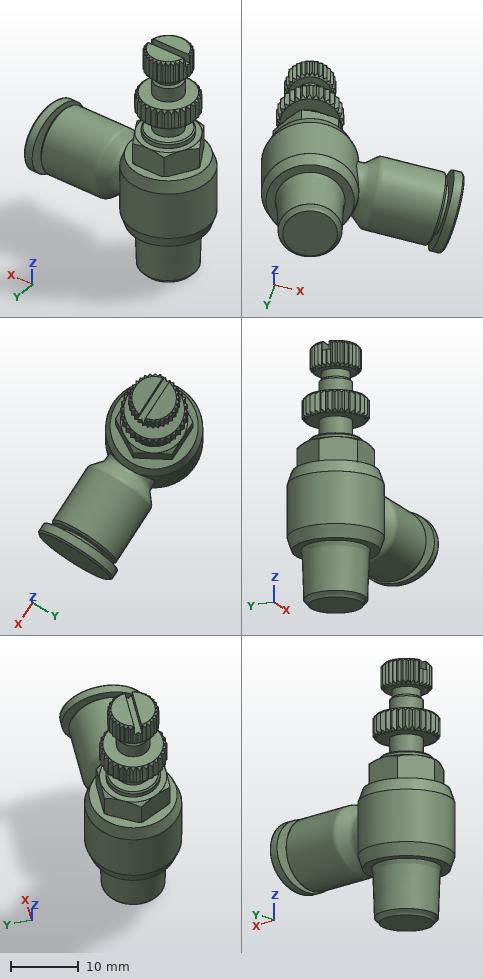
import cadquery as cq
import math

THREAD_END_DIAMETER = 9.5
THREAD_TOP_DIAMETER = 9.97
THREAD_COLLAR_DIAMETER = 10.35
THREAD_TIP_DIAMETER = 8.1
THREAD_LEAD_DIAMETER = 8.5
THREAD_LEAD_TOP = 0.32
THREAD_CHAMFER_TOP = 0.8
THREAD_TOP = 7.7
THREAD_COLLAR_EDGE = 8.3

BODY_DIAMETER = 14.4
BODY_END_DIAMETER = 13.05
BODY_BOTTOM = 8.45
BODY_TOP = 20.5
BODY_TAPER_HEIGHT = 1.95

HEX_ACROSS_FLATS = 9.97
HEX_SUNK_DEPTH = 0.3
HEX_TOP = 24.6
HEX_CHAMFER_ANGLE = 30.0

COLLAR_DIAMETER = 8.05
COLLAR_TOP = 25.55
COLLAR_CHAMFER = 0.25

STEM_DIAMETER = 5.0
STEM_TOP = 34.85
STEM_CHAMFER = 0.35
NECK_DIAMETER = 4.33

NUT_DIAMETER = 10.0
NUT_BOTTOM = 28.55
NUT_TOP = 32.05
NUT_TEETH = 30
KNOB_DIAMETER = 7.6
KNOB_BOTTOM = 36.05
KNOB_TOP = 40.05
KNOB_TEETH = 30
KNURL_CHAMFER = 0.52
SLOT_WIDTH = 1.12
SLOT_DEPTH = 1.45

BRANCH_HEIGHT = 14.65
BRANCH_NECK_DIAMETER = 8.05
BRANCH_DIAMETER = 11.2
BRANCH_CONE_START = 7.5
BRANCH_CONE_END = 9.4
BRANCH_CONE_FILLET = 0.9
BRANCH_END = 19.6
BRANCH_CHAMFER = 0.32
SLEEVE_DIAMETER = 7.55
RING_START = 20.3
RING_END = 21.95
RING_WIDTH = 12.98
RING_HEIGHT = 11.15
RING_CHAMFER = 0.3

PICK_MARGIN = 0.05


def disc(diameter, bottom, top):
    """Upright cylinder on the Z axis between two heights."""
    return cq.Workplane("XY").workplane(offset=bottom).circle(diameter / 2).extrude(top - bottom)


def threaded_end():
    """Tapered plug with a doubly bevelled tip and a short flared collar below the body."""
    return (
        cq.Workplane("XZ")
        .moveTo(0, 0)
        .lineTo(THREAD_TIP_DIAMETER / 2, 0)
        .lineTo(THREAD_LEAD_DIAMETER / 2, THREAD_LEAD_TOP)
        .lineTo(THREAD_END_DIAMETER / 2, THREAD_CHAMFER_TOP)
        .lineTo(THREAD_TOP_DIAMETER / 2, THREAD_TOP)
        .lineTo(THREAD_COLLAR_DIAMETER / 2, THREAD_COLLAR_EDGE)
        .lineTo(THREAD_COLLAR_DIAMETER / 2, BODY_BOTTOM)
        .lineTo(0, BODY_BOTTOM)
        .close()
        .revolve(360, (0, 0, 0), (0, 1, 0))
    )


def body():
    """Round body tapered at both ends."""
    taper_width = (BODY_DIAMETER - BODY_END_DIAMETER) / 2
    return (
        disc(BODY_DIAMETER, BODY_BOTTOM, BODY_TOP)
        .faces("<Z").chamfer(BODY_TAPER_HEIGHT, taper_width)
        .faces(">Z").chamfer(BODY_TAPER_HEIGHT, taper_width)
    )


def hexagon():
    """Wrench hexagon with corners on the X axis, conically chamfered and slightly sunk in the body."""
    corner_diameter = HEX_ACROSS_FLATS / math.cos(math.pi / 6)
    chamfer_width = (corner_diameter - HEX_ACROSS_FLATS) / 2
    chamfer_height = chamfer_width * math.tan(math.radians(HEX_CHAMFER_ANGLE))
    bottom = BODY_TOP - HEX_SUNK_DEPTH
    prism = (
        cq.Workplane("XY").workplane(offset=bottom)
        .polygon(6, corner_diameter)
        .extrude(HEX_TOP - bottom)
    )
    envelope = (
        disc(corner_diameter, bottom, HEX_TOP)
        .faces("<Z").chamfer(chamfer_height, chamfer_width)
        .faces(">Z").chamfer(chamfer_height, chamfer_width)
    )
    return prism.intersect(envelope)


def stem():
    """Collar, stem and thinner neck stacked above the hexagon."""
    collar = disc(COLLAR_DIAMETER, HEX_TOP, COLLAR_TOP).faces(">Z").chamfer(COLLAR_CHAMFER)
    shaft = disc(STEM_DIAMETER, COLLAR_TOP, STEM_TOP).faces(">Z").chamfer(STEM_CHAMFER)
    neck = disc(NECK_DIAMETER, STEM_TOP, KNOB_BOTTOM)
    return collar.union(shaft).union(neck)


def knurled_disc(diameter, bottom, top, teeth, first_tip):
    """Chamfered disc with sharp teeth, one of them at the angle first_tip from +X."""
    pitch = 2 * math.pi / teeth
    tip_radius = diameter / 2
    root_radius = tip_radius * (1 - pitch / 2)
    points = []
    for tooth in range(teeth):
        tip_angle = first_tip + tooth * pitch
        for radius, angle in ((tip_radius, tip_angle), (root_radius, tip_angle + pitch / 2)):
            points.append((radius * math.cos(angle), radius * math.sin(angle)))
    star = cq.Workplane("XY").workplane(offset=bottom).polyline(points).close().extrude(top - bottom)
    return star.intersect(disc(diameter, bottom, top).faces("<Z or >Z").chamfer(KNURL_CHAMFER))


def knob():
    """Knurled knob with a screwdriver slot along X."""
    slot = (
        cq.Workplane("XY").workplane(offset=KNOB_TOP - SLOT_DEPTH)
        .rect(KNOB_DIAMETER, SLOT_WIDTH)
        .extrude(SLOT_DEPTH)
    )
    head = knurled_disc(KNOB_DIAMETER, KNOB_BOTTOM, KNOB_TOP, KNOB_TEETH, first_tip=math.pi / 2)
    return head.cut(slot)


def branch():
    """Side tube: neck, rounded cone and straight socket, turned about its own axis."""
    neck_radius = BRANCH_NECK_DIAMETER / 2
    socket_radius = BRANCH_DIAMETER / 2
    tube = (
        cq.Workplane("XY")
        .moveTo(0, 0)
        .lineTo(0, neck_radius)
        .lineTo(BRANCH_CONE_START, neck_radius)
        .lineTo(BRANCH_CONE_END, socket_radius)
        .lineTo(BRANCH_END, socket_radius)
        .lineTo(BRANCH_END, 0)
        .close()
        .revolve(360, (0, 0, 0), (1, 0, 0))
        .faces(">X").chamfer(BRANCH_CHAMFER)
    )
    for corner_x in (BRANCH_CONE_START, BRANCH_CONE_END):
        corner = cq.selectors.BoxSelector(
            (corner_x - PICK_MARGIN, -BRANCH_DIAMETER, -BRANCH_DIAMETER),
            (corner_x + PICK_MARGIN, BRANCH_DIAMETER, BRANCH_DIAMETER),
            boundingbox=True,
        )
        tube = tube.edges(corner).fillet(BRANCH_CONE_FILLET)
    return tube.translate((0, 0, BRANCH_HEIGHT))


def release_ring():
    """Oval push ring on a round sleeve at the end of the branch."""
    sleeve = (
        cq.Workplane("YZ").workplane(offset=BRANCH_END)
        .circle(SLEEVE_DIAMETER / 2)
        .extrude(RING_START - BRANCH_END)
    )
    ring = (
        cq.Workplane("YZ").workplane(offset=RING_START)
        .ellipse(RING_WIDTH / 2, RING_HEIGHT / 2)
        .extrude(RING_END - RING_START)
        .faces(">X").chamfer(RING_CHAMFER)
    )
    return sleeve.union(ring).translate((0, 0, BRANCH_HEIGHT))


result = (
    threaded_end()
    .union(body())
    .union(hexagon())
    .union(stem())
    .union(knurled_disc(NUT_DIAMETER, NUT_BOTTOM, NUT_TOP, NUT_TEETH, first_tip=0))
    .union(knob())
    .union(branch())
    .union(release_ring())
)